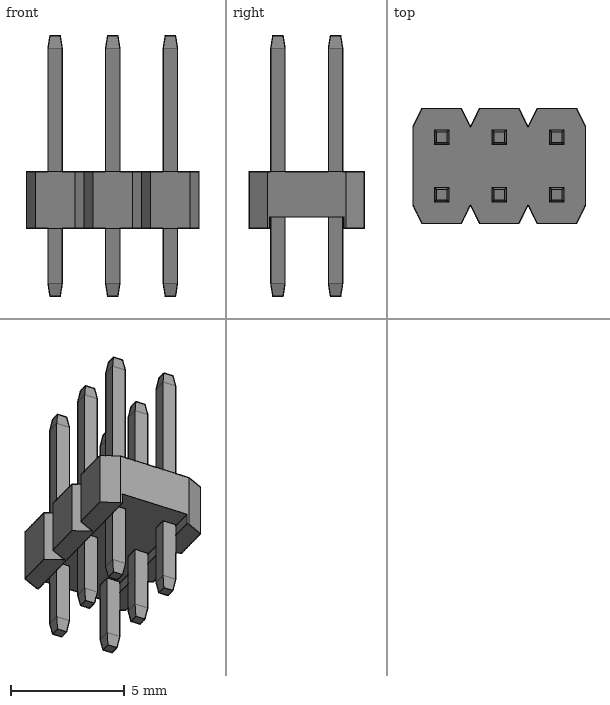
import cadquery as cq

columns = 3
rows = 2
pitch = 2.54
total_height = 11.5

body_bottom = 3.0
body_height = 2.5
notch_half_width = 0.4
notch_depth = 0.82
channel_width = 3.27
channel_depth = 0.5

pin_width = 0.64
tip_width = 0.46
tip_length = 0.58

body_length = columns * pitch
body_width = rows * pitch


def make_body():
    """Block with a V notch at each column boundary, which also bevels its corners."""
    body = cq.Workplane("XY").box(body_length, body_width, body_height, centered=(True, True, False))
    edge_y = body_width / 2
    for boundary in range(columns + 1):
        x = boundary * pitch - body_length / 2
        for side in (-1, 1):
            notch = (
                cq.Workplane("XY")
                .moveTo(x - notch_half_width, side * edge_y)
                .lineTo(x + notch_half_width, side * edge_y)
                .lineTo(x, side * (edge_y - notch_depth))
                .close()
                .extrude(body_height)
            )
            body = body.cut(notch)

    channel = cq.Workplane("XY").box(body_length, channel_width, channel_depth, centered=(True, True, False))
    return body.cut(channel).translate((0, 0, body_bottom))


def make_pin():
    """Square pin standing on Z = 0, tapered at both ends."""
    shank = (
        cq.Workplane("XY")
        .workplane(offset=tip_length)
        .rect(pin_width, pin_width)
        .extrude(total_height - 2 * tip_length)
    )
    bottom_tip = (
        cq.Workplane("XY")
        .rect(tip_width, tip_width)
        .workplane(offset=tip_length)
        .rect(pin_width, pin_width)
        .loft(ruled=True)
    )
    top_tip = bottom_tip.rotate((0, 0, 0), (1, 0, 0), 180).translate((0, 0, total_height))
    return shank.union(bottom_tip).union(top_tip)


result = make_body()
pin = make_pin()
for column in range(columns):
    for row in range(rows):
        pin_x = (column - (columns - 1) / 2) * pitch
        pin_y = (row - (rows - 1) / 2) * pitch
        result = result.union(pin.translate((pin_x, pin_y, 0)))